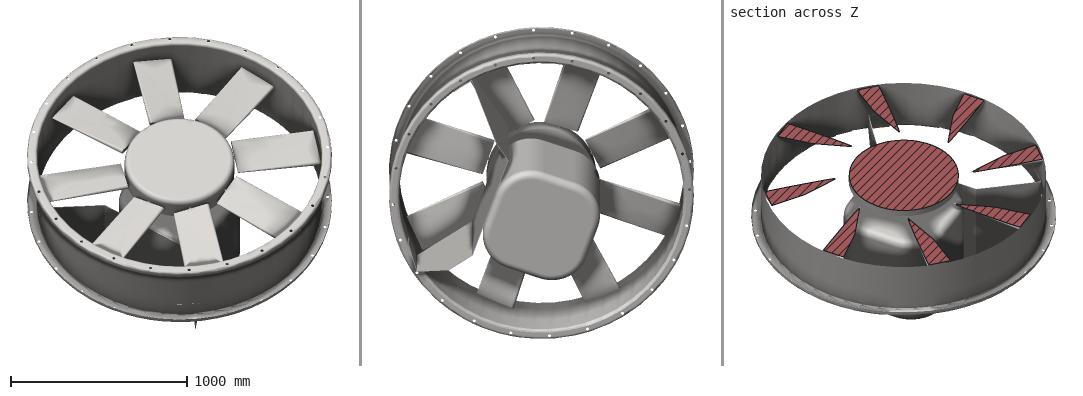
import cadquery as cq
import math


flange_radius = 865.0
duct_height = 452.0
bore_radius = 808.0
skin_thickness = 1.0
bend_radius = 15.0
lip_height = 33.0

bolt_count = 24
bolt_diameter = 17.0
bolt_circle_radius = 843.0

motor_half_width = 306.0
motor_corner_radius = 210.0
motor_round = 42.0
motor_top = 97.0
motor_bottom = -488.0

hub_diameter = 623.0
hub_top = 408.0
hub_height = 130.0
hub_round = 28.0
shaft_diameter = 161.0

blade_count = 8
blade_root_radius = 320.0
blade_tip_radius = 795.0
root_nose_reach = 109.0
root_tail_reach = 97.0
tip_nose_reach = 115.0
tip_tail_reach = 109.0
nose_length = 15.0
nose_thickness = 31.0
tail_thickness = 9.0
tail_length = 3.0
root_low_z = 332.0
root_high_z = 374.0
tip_low_z = 325.0
tip_high_z = 348.0
stem_diameter = 16.0
stem_overlap = 17.0

sheet_thickness = 3.0
bracket_top = 102.0
bracket_bottom = motor_bottom + motor_round + 2.0
wing_end_x = 607.0
wing_end_y = 535.0
tab_sweep_angle = 8.6
tab_outer_radius = 810.0
bracket_trim_top_y = -604.0
bracket_trim_bottom_y = -405.0


def cylinder(radius, bottom, height):
    return cq.Workplane("XY").workplane(offset=bottom).circle(radius).extrude(height)


def rounded_ring(inset):
    """Ring between bore and flange rim, rounded at all four rims and shrunk inwards by inset."""
    height = duct_height - 2 * inset
    ring = cylinder(flange_radius - inset, inset, height)
    ring = ring.cut(cylinder(bore_radius + inset, inset, height))
    return ring.faces("<Z or >Z").edges().fillet(bend_radius - inset)


def make_duct():
    duct = rounded_ring(0).cut(rounded_ring(skin_thickness))
    opening_height = duct_height - 2 * lip_height
    opening = cylinder(flange_radius, lip_height, opening_height)
    opening = opening.cut(cylinder(flange_radius - bend_radius, lip_height, opening_height))
    holes = (
        cq.Workplane("XY")
        .polarArray(bolt_circle_radius, 180 / bolt_count, 360, bolt_count)
        .circle(bolt_diameter / 2)
        .extrude(duct_height)
    )
    return duct.cut(opening).cut(holes)


def make_motor():
    width = 2 * motor_half_width
    return (
        cq.Workplane("XY")
        .workplane(offset=motor_bottom)
        .rect(width, width)
        .extrude(motor_top - motor_bottom)
        .edges("|Z")
        .fillet(motor_corner_radius)
        .faces("<Z or >Z")
        .edges()
        .fillet(motor_round)
    )


def make_hub():
    hub_bottom = hub_top - hub_height
    hub = cylinder(hub_diameter / 2, hub_bottom, hub_height).faces(">Z").edges().fillet(hub_round)
    shaft_bottom = motor_top - motor_round
    shaft = cylinder(shaft_diameter / 2, shaft_bottom, hub_bottom + hub_round - shaft_bottom)
    return hub.union(shaft)


def blade_section(radius, low_edge, high_edge):
    """Closed wire at X = radius. Each edge is (y, z of the flat top, thickness, bulge of its round end)."""
    low_y, low_z, low_thickness, low_bulge = low_edge
    high_y, high_z, high_thickness, high_bulge = high_edge
    low_top = cq.Vector(radius, low_y, low_z)
    low_end = cq.Vector(radius, low_y - low_bulge, low_z - low_thickness / 2)
    low_bottom = cq.Vector(radius, low_y, low_z - low_thickness)
    high_top = cq.Vector(radius, high_y, high_z)
    high_end = cq.Vector(radius, high_y + high_bulge, high_z - high_thickness / 2)
    high_bottom = cq.Vector(radius, high_y, high_z - high_thickness)
    return cq.Wire.assembleEdges(
        [
            cq.Edge.makeLine(low_top, high_top),
            cq.Edge.makeThreePointArc(high_top, high_end, high_bottom),
            cq.Edge.makeLine(high_bottom, low_bottom),
            cq.Edge.makeThreePointArc(low_bottom, low_end, low_top),
        ]
    )


def make_blade():
    """Blade along +X; its thick edge is the high one at the root and the low one at the tip."""
    root = blade_section(
        blade_root_radius,
        (tail_length - root_tail_reach, root_low_z, tail_thickness, tail_length),
        (root_nose_reach - nose_length, root_high_z, nose_thickness, nose_length),
    )
    tip = blade_section(
        blade_tip_radius,
        (nose_length - tip_nose_reach, tip_low_z, nose_thickness, nose_length),
        (tip_tail_reach - tail_length, tip_high_z, tail_thickness, tail_length),
    )
    blade = cq.Workplane(cq.Solid.makeLoft([root, tip], True))
    stem_z = (root_low_z + root_high_z) / 2 - (nose_thickness + tail_thickness) / 4
    stem = (
        cq.Workplane("YZ")
        .workplane(offset=hub_diameter / 2 - stem_overlap)
        .center(0, stem_z)
        .circle(stem_diameter / 2)
        .extrude(blade_root_radius - hub_diameter / 2 + 2 * stem_overlap)
    )
    return blade.union(stem)


def upright_sheet(start, end):
    """Sheet from start to end, with its thickness to the left of that direction."""
    length = math.hypot(end[0] - start[0], end[1] - start[1])
    angle = math.degrees(math.atan2(end[1] - start[1], end[0] - start[0]))
    sheet = cq.Workplane("XY").box(
        length, sheet_thickness, bracket_top - bracket_bottom, centered=False
    )
    return sheet.rotate((0, 0, 0), (0, 0, 1), angle).translate((start[0], start[1], bracket_bottom))


def wall_tab(start_angle):
    """Curved tab set into the duct wall, standing slightly proud of it, swept counterclockwise from start_angle."""
    return (
        cq.Workplane("XZ")
        .moveTo(tab_outer_radius - sheet_thickness, bracket_bottom)
        .rect(sheet_thickness, bracket_top - bracket_bottom, centered=False)
        .revolve(tab_sweep_angle, (0, 0), (0, 1))
        .rotate((0, 0, 0), (0, 0, 1), start_angle)
    )


def make_bracket():
    """Panel on the -Y side of the motor, with two wings at right angles that end in wall tabs."""
    left_corner = (-motor_half_width, -motor_half_width)
    right_corner = (motor_half_width, -motor_half_width)
    left_end = (-wing_end_x, -wing_end_y)
    right_end = (wing_end_y, -wing_end_x)
    left_angle = math.degrees(math.atan2(left_end[1], left_end[0]))
    right_angle = math.degrees(math.atan2(right_end[1], right_end[0]))
    bracket = (
        upright_sheet(right_corner, left_corner)
        .union(upright_sheet(left_corner, left_end))
        .union(upright_sheet(right_end, right_corner))
        .union(wall_tab(left_angle))
        .union(wall_tab(right_angle - tab_sweep_angle))
    )
    trim = (
        cq.Workplane("YZ")
        .moveTo(-flange_radius, 0)
        .lineTo(bracket_trim_top_y, 0)
        .lineTo(bracket_trim_bottom_y, bracket_bottom)
        .lineTo(-flange_radius, bracket_bottom)
        .close()
        .extrude(flange_radius, both=True)
    )
    return bracket.cut(trim)


result = make_duct().union(make_motor()).union(make_hub()).union(make_bracket())
for index in range(blade_count):
    blade = make_blade().rotate((0, 0, 0), (0, 0, 1), index * 360 / blade_count)
    result = result.union(blade)